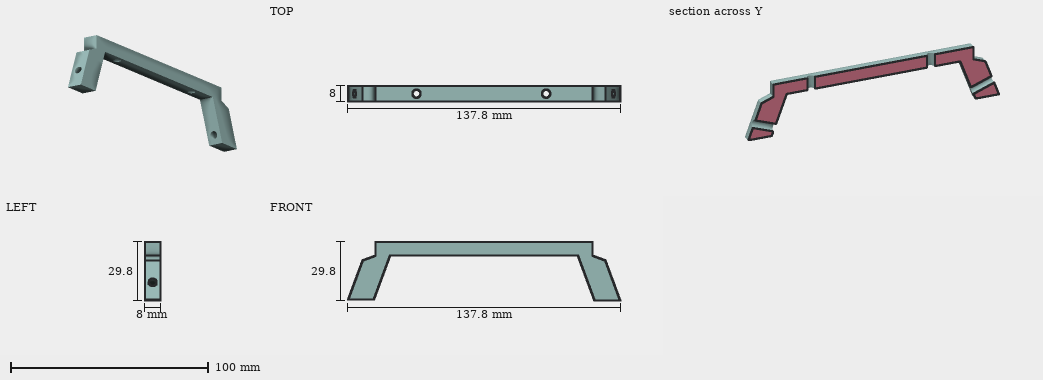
import cadquery as cq
import math

bar_length = 110.0
bar_height = 7.0
depth = 8.0
hole_diameter = 4.0
bar_hole_positions = (-34.2, 31.5)

leg_lean = math.radians(20.3)
leg_thickness = 12.26
overall_length = 137.85
overall_height = 29.77
left_foot_rise = 0.55
leg_hole_drop = 20.5

foot_reach = (overall_length + left_foot_rise * math.tan(leg_lean)) / 2
corner_to_foot_x = foot_reach - bar_length / 2
corner_to_foot_z = overall_height - bar_height
leg_run = corner_to_foot_z * math.tan(leg_lean)
shoulder_run = (corner_to_foot_x - leg_run) / (1 - math.tan(leg_lean) ** 2)

shoulder_x = bar_length / 2 + shoulder_run
shoulder_z = -bar_height - shoulder_run * math.tan(leg_lean)
foot_width = leg_thickness / math.cos(leg_lean)


def outer_face_x(z):
    """Distance from the middle of the bar to the outer leg face at height z."""
    return shoulder_x + (shoulder_z - z) * math.tan(leg_lean)


def leg_outline(side, foot_z):
    """Points of one leg from the bar's end corner round to the inner corner."""
    outline = [
        (bar_length / 2, -bar_height),
        (shoulder_x, shoulder_z),
        (outer_face_x(foot_z), foot_z),
        (outer_face_x(foot_z) - foot_width, foot_z),
        (outer_face_x(-bar_height) - foot_width, -bar_height),
    ]
    return [(side * x, z) for x, z in outline]


def make_body():
    right_leg = leg_outline(1, -overall_height)
    left_leg = leg_outline(-1, -overall_height + left_foot_rise)
    top_corners = [(-bar_length / 2, 0), (bar_length / 2, 0)]
    outline = top_corners + right_leg + left_leg[::-1]
    return cq.Workplane("XZ").polyline(outline).close().extrude(depth / 2, both=True)


def bar_hole(x):
    """Vertical hole through the bar."""
    axis_start = cq.Vector(x, 0, 0)
    return cq.Solid.makeCylinder(hole_diameter / 2, bar_height, axis_start, cq.Vector(0, 0, -1))


def leg_hole(side):
    """Hole through a leg, square to its outer face."""
    inward = cq.Vector(-side * math.cos(leg_lean), 0, -math.sin(leg_lean))
    centre = cq.Vector(side * outer_face_x(-leg_hole_drop), 0, -leg_hole_drop)
    overshoot = hole_diameter
    length = leg_thickness + 2 * overshoot
    return cq.Solid.makeCylinder(hole_diameter / 2, length, centre - inward * overshoot, inward)


result = make_body()
for hole_x in bar_hole_positions:
    result = result.cut(cq.Workplane(bar_hole(hole_x)))
for leg_side in (-1, 1):
    result = result.cut(cq.Workplane(leg_hole(leg_side)))